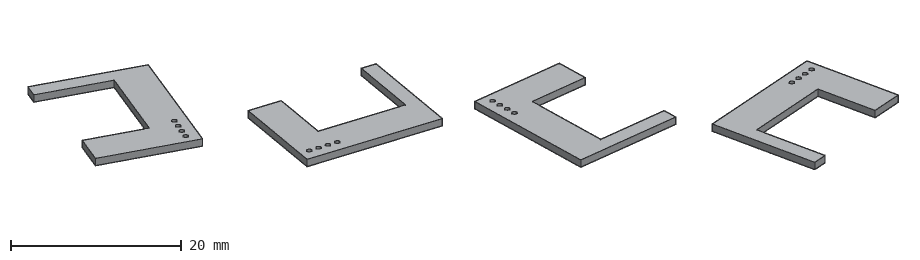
import cadquery as cq

width = 18.5
depth = 15.0
thickness = 1.0

bar_depth = 5.0
left_arm_width = 2.04
right_arm_width = 4.53
right_arm_end = depth - 13.35

hole_diameter = 0.65
hole_count = 4
hole_pitch = 1.28
hole_side_margin = 1.3
hole_back_margin = 1.65

bar_front = depth - bar_depth
right_arm_start = width - right_arm_width

plate = (
    cq.Workplane("XY")
    .polyline([
        (0, 0),
        (left_arm_width, 0),
        (left_arm_width, bar_front),
        (right_arm_start, bar_front),
        (right_arm_start, right_arm_end),
        (width, right_arm_end),
        (width, depth),
        (0, depth),
    ])
    .close()
    .extrude(thickness)
)

hole_centres = [
    (width - hole_side_margin - i * hole_pitch, depth - hole_back_margin)
    for i in range(hole_count)
]
holes = (
    cq.Workplane("XY")
    .pushPoints(hole_centres)
    .circle(hole_diameter / 2)
    .extrude(thickness)
)

result = plate.cut(holes)